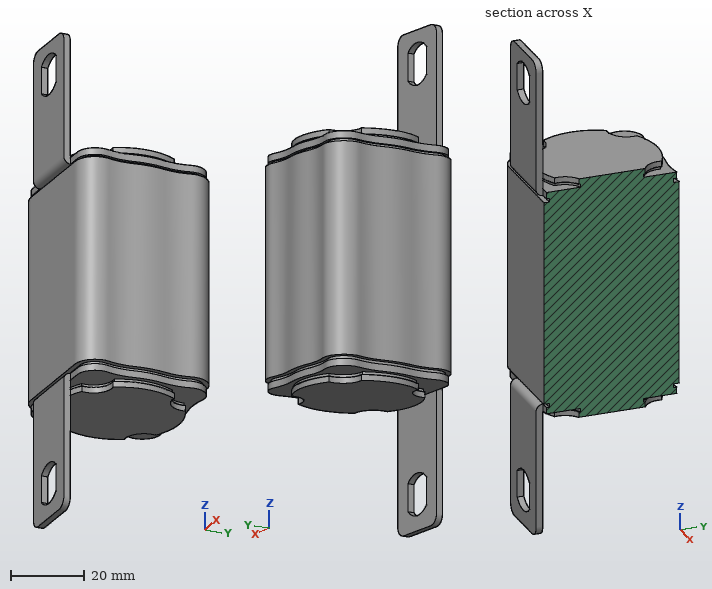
import cadquery as cq
import math

BODY_WIDTH = 40.0
BODY_HEIGHT = 60.2
WAVY_SIDES = 3
CORNER_RADIUS = 6.1
CREST_RADIUS = 24.7
VALLEY_RADIUS = 17.5

NECK_HEIGHT = 1.0
NECK_INSET = 1.5
PLATE_INSET = 0.7
SHEET_THICKNESS = 2.0
PAD_HEIGHT = 0.8
PAD_INSET = 0.4
CAP_HEIGHT = 1.7
CAP_RADIUS = 18.2
CAP_NOTCH_RADIUS = 5.5
CAP_NOTCH_OFFSET = 14.7

OVERALL_HEIGHT = 141.4
TAB_WIDTH = 19.2
OVERALL_DEPTH = 41.3
TAB_CORNER_RADIUS = 3.0
HOLE_DIAMETER = 12.0
HOLE_WIDTH = 9.0
TOP_HOLE_EDGE_DISTANCE = 9.6
BOTTOM_HOLE_EDGE_DISTANCE = 10.3

body_half = BODY_WIDTH / 2
corner_centre = body_half - CORNER_RADIUS
tab_front = OVERALL_DEPTH - body_half
tab_back = tab_front - SHEET_THICKNESS

neck_base = BODY_HEIGHT / 2
plate_base = neck_base + NECK_HEIGHT
pad_base = plate_base + SHEET_THICKNESS
cap_base = pad_base + PAD_HEIGHT
tab_end = OVERALL_HEIGHT / 2


def point_towards(start, target, distance):
    """Point at the given distance from start on the line to target."""
    ratio = distance / math.dist(start, target)
    return tuple(s + ratio * (t - s) for s, t in zip(start, target))


def turn(point, quarters):
    """Point turned counter-clockwise about the axis by quarter turns."""
    x, y = point
    for _ in range(quarters):
        x, y = -y, x
    return x, y


def flip(point):
    """Point mirrored to the other side of the X axis."""
    return point[0], -point[1]


def wave_points():
    """Tangent points and valley floor on the +Y half of the +X side, from crest to corner."""
    crest = (body_half - CREST_RADIUS, 0.0)
    corner = (corner_centre, corner_centre)
    to_crest = CREST_RADIUS + VALLEY_RADIUS
    to_corner = CORNER_RADIUS + VALLEY_RADIUS

    base = math.dist(crest, corner)
    along = (to_crest**2 - to_corner**2 + base**2) / (2 * base)
    across = math.sqrt(to_crest**2 - along**2)
    ux, uy = (corner[0] - crest[0]) / base, (corner[1] - crest[1]) / base
    valley = (crest[0] + along * ux + across * uy, crest[1] + along * uy - across * ux)

    crest_end = point_towards(crest, valley, CREST_RADIUS)
    floor = (valley[0] - VALLEY_RADIUS, valley[1])
    corner_start = point_towards(corner, valley, CORNER_RADIUS)
    return crest_end, floor, corner_start


def body_outline():
    """Closed body outline, drawn counter-clockwise from the flat -Y side."""
    crest_end, floor, corner_start = wave_points()
    diagonal = corner_centre + CORNER_RADIUS / math.sqrt(2)

    outline = (
        cq.Workplane("XY")
        .moveTo(-corner_centre, -body_half)
        .lineTo(corner_centre, -body_half)
        .threePointArc((diagonal, -diagonal), flip(corner_start))
    )
    for quarters in range(WAVY_SIDES):
        next_corner_end = turn(flip(corner_start), quarters + 1)
        if quarters == WAVY_SIDES - 1:
            next_corner_end = (-corner_centre, -body_half)
        outline = (
            outline
            .threePointArc(turn(flip(floor), quarters), turn(flip(crest_end), quarters))
            .threePointArc(turn((body_half, 0), quarters), turn(crest_end, quarters))
            .threePointArc(turn(floor, quarters), turn(corner_start, quarters))
            .threePointArc(turn((diagonal, diagonal), quarters), next_corner_end)
        )
    return outline.close()


def body_layer(base, height, inset):
    """Slab with the body outline shrunk evenly by the inset."""
    return body_outline().offset2D(-inset).extrude(height).translate((0, 0, base))


def notched_disc(base, height, inset):
    """Round slab with a circular notch around each of the four corners."""
    disc = cq.Workplane("XY").circle(CAP_RADIUS - inset).extrude(height)
    notch_centres = [(x, y) for x in (-CAP_NOTCH_OFFSET, CAP_NOTCH_OFFSET)
                     for y in (-CAP_NOTCH_OFFSET, CAP_NOTCH_OFFSET)]
    notches = (
        cq.Workplane("XY")
        .pushPoints(notch_centres)
        .circle(CAP_NOTCH_RADIUS + inset)
        .extrude(height)
    )
    return disc.cut(notches).translate((0, 0, base))


def terminal_tab(hole_edge_distance):
    """Upright tab with a rounded bend that joins the end plate."""
    tab_height = tab_end - plate_base
    upright = (
        cq.Workplane("XY")
        .box(TAB_WIDTH, SHEET_THICKNESS, tab_height, centered=(True, False, False))
        .translate((0, -tab_front, plate_base))
        .edges("|Y and >Z").fillet(TAB_CORNER_RADIUS)
    )
    foot = (
        cq.Workplane("XY")
        .box(TAB_WIDTH, tab_front - corner_centre, SHEET_THICKNESS, centered=(True, False, False))
        .translate((0, -tab_front, plate_base))
    )
    tab = upright.union(foot).edges("|X and <Y and <Z").fillet(SHEET_THICKNESS)

    hole_plane = cq.Workplane("XZ", origin=(0, -tab_back, tab_end - hole_edge_distance))
    hole = hole_plane.circle(HOLE_DIAMETER / 2).extrude(SHEET_THICKNESS)
    flats = hole_plane.rect(HOLE_WIDTH, HOLE_DIAMETER).extrude(SHEET_THICKNESS)
    return tab.cut(hole.intersect(flats))


def end_assembly(hole_edge_distance):
    """Neck, plate, pad, cap and tab for one end of the body, built at the +Z end."""
    return (
        body_layer(neck_base, NECK_HEIGHT, NECK_INSET)
        .union(body_layer(plate_base, SHEET_THICKNESS, PLATE_INSET))
        .union(notched_disc(pad_base, PAD_HEIGHT, PAD_INSET))
        .union(notched_disc(cap_base, CAP_HEIGHT, 0))
        .union(terminal_tab(hole_edge_distance))
    )


body = body_outline().extrude(BODY_HEIGHT / 2, both=True)
top_end = end_assembly(TOP_HOLE_EDGE_DISTANCE)
bottom_end = end_assembly(BOTTOM_HOLE_EDGE_DISTANCE).mirror("XY")
result = body.union(top_end).union(bottom_end)